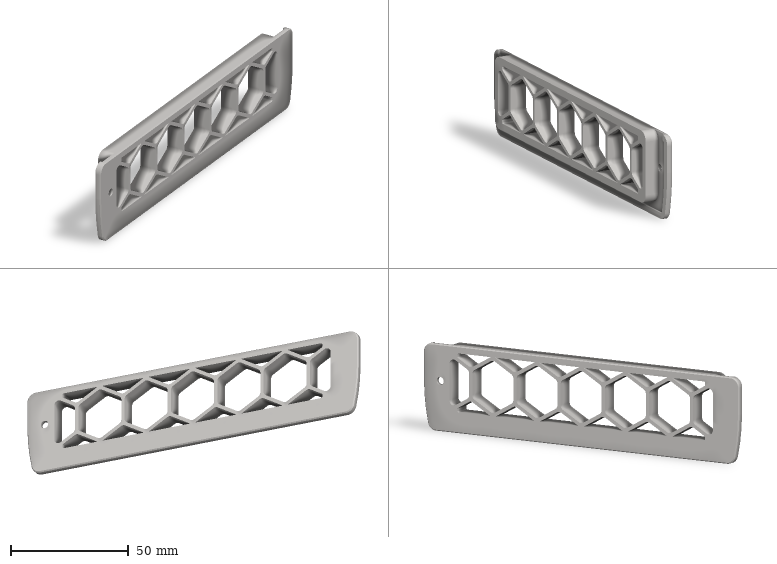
import cadquery as cq
import math


length = 154.8
height = 37.6
flange_thickness = 2.6
corner_radius = 4.0
side_curve_radius = 86.7
back_chamfer = 0.5

rim_width = 2.6
recess_depth = 1.0

frame_projection = 5.0
frame_length = 134.8
frame_height = 31.7
frame_radius = 4.0
frame_side_wall = 3.1
frame_end_wall = 2.8

cell_pitch = 21.7
rib_width = 1.5
cell_count = 7
cell_radius = 2.0
end_gap_inset = 3.9
end_gap_radius = 0.6

hole_diameter = 3.4
hole_offset = 69.2
blind_hole_depth = 0.8

mid_z = height - frame_height / 2
opening_length = frame_length - 2 * frame_end_wall
opening_height = frame_height - 2 * frame_side_wall
total_depth = frame_projection + flange_thickness
selection_margin = 0.2


def plane_at(x):
    """Work plane facing +X, with local axes along Y and Z."""
    return cq.Workplane("YZ", origin=(x, 0, 0))


def flange_profile():
    """Flange outline with straight upper ends and ends curving inward below mid_z."""
    half = length / 2

    def curved_end(z):
        drop = mid_z - z
        return half - side_curve_radius + math.sqrt(side_curve_radius**2 - drop**2)

    mid_curve = (curved_end(mid_z / 2), mid_z / 2)
    bottom_y = curved_end(0)
    return (
        plane_at(0)
        .moveTo(-half, height)
        .lineTo(half, height)
        .lineTo(half, mid_z)
        .threePointArc(mid_curve, (bottom_y, 0))
        .lineTo(-bottom_y, 0)
        .threePointArc((-mid_curve[0], mid_curve[1]), (-half, mid_z))
        .close()
    )


def rounded_slab(thickness, inset):
    """Slab behind X = 0 with rounded corners, its outline moved inward by inset."""
    profile = flange_profile()
    if inset > 0:
        profile = profile.offset2D(-inset)
    slab = profile.extrude(thickness)
    return slab.edges("|X").edges(">Z or <Z").fillet(corner_radius - inset)


def make_flange():
    """Flange with its recess, which runs out through the top edge between the corners."""
    flange = rounded_slab(flange_thickness, 0).faces(">X").chamfer(back_chamfer)
    recess = rounded_slab(recess_depth, rim_width)
    top_opening = (
        plane_at(0)
        .center(0, height - rim_width)
        .rect(length - 2 * corner_radius, 2 * rim_width)
        .extrude(recess_depth)
    )
    return flange.cut(recess).cut(top_opening)


def make_frame():
    """Solid rounded block rising from the recess floor."""
    return (
        plane_at(-frame_projection)
        .center(0, mid_z)
        .rect(frame_length, frame_height)
        .extrude(frame_projection + recess_depth)
        .edges("|X")
        .fillet(frame_radius)
    )


def opening_block(block_length):
    """Block through the full thickness, as high as the frame opening."""
    profile = plane_at(-frame_projection).center(0, mid_z).rect(block_length, opening_height)
    return profile.extrude(total_depth)


def hexagons(across_flats):
    """A row of hexagonal prisms with points up and down."""
    corner_distance = across_flats / math.sqrt(3)
    corners = []
    for index in range(6):
        angle = math.radians(30 + 60 * index)
        corners.append((corner_distance * math.cos(angle), corner_distance * math.sin(angle)))
    prisms = []
    for index in range(cell_count):
        y = (index - (cell_count - 1) / 2) * cell_pitch
        profile = plane_at(-frame_projection).center(y, mid_z).polyline(corners).close()
        prisms.append(profile.extrude(total_depth))
    return prisms


def make_cells():
    """Hexagonal holes; each end cell is cut off at the end of the frame opening."""
    opening = opening_block(opening_length)
    across_flats = cell_pitch - rib_width
    return [prism.intersect(opening).edges("|X").fillet(cell_radius) for prism in hexagons(across_flats)]


def make_gaps():
    """Triangular holes above and below the ribs."""
    gaps = opening_block(opening_length - 2 * end_gap_inset)
    for prism in hexagons(cell_pitch + rib_width):
        gaps = gaps.cut(prism)
    tip_distance = (cell_pitch / 2 + rib_width) / math.sqrt(3)
    reach = tip_distance + selection_margin
    tips = cq.selectors.BoxSelector(
        (-total_depth, -length, mid_z - reach), (total_depth, length, mid_z + reach)
    )
    gaps = gaps.edges(tips).edges("|X").fillet(cell_radius)
    return gaps.edges("|X").edges("<Y or >Y").fillet(end_gap_radius)


def make_hole(y, depth):
    """Round hole starting at the recess floor."""
    return plane_at(recess_depth).center(y, mid_z).circle(hole_diameter / 2).extrude(depth)


result = make_flange().union(make_frame())
for cell in make_cells():
    result = result.cut(cell)
result = result.cut(make_gaps())
result = result.cut(make_hole(-hole_offset, flange_thickness))
result = result.cut(make_hole(hole_offset, blind_hole_depth))